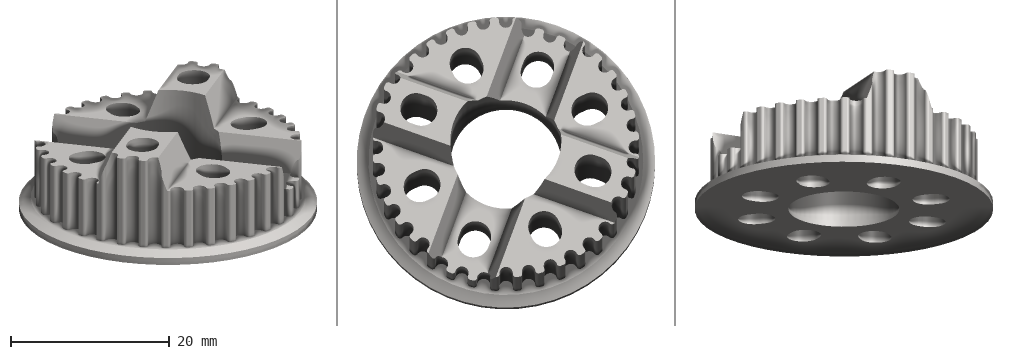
import cadquery as cq
import math

flange_radius = 18.8
flange_rim_height = 0.95
flange_height = 1.5
flange_top_radius = 17.3

tooth_count = 36
tip_radius = 16.8
groove_depth = 1.35
groove_width = 1.7
tip_fillet = 0.38

channel_floor = 5.23
ridge_top = 13.25
dog_height = (ridge_top - channel_floor) / 2
mid_level = channel_floor + dog_height
dog_half_width = 4.5
flank_angle = math.radians(20)
dog_narrow_half_width = dog_half_width - dog_height * math.tan(flank_angle)

bore_radius = 7.0
slot_count = 8
slot_circle_radius = 11.65
slot_length = 4.7
slot_width = 4.0


def make_flange():
    """Disc with a conical bevel around its upper rim."""
    return (
        cq.Workplane("XZ")
        .moveTo(0, 0)
        .lineTo(flange_radius, 0)
        .lineTo(flange_radius, flange_rim_height)
        .lineTo(flange_top_radius, flange_height)
        .lineTo(0, flange_height)
        .close()
        .revolve(360, (0, 0, 0), (0, 1, 0))
    )


def make_groove():
    """Round-bottomed belt groove on the +X side, open outwards."""
    half_width = groove_width / 2
    bottom = tip_radius - groove_depth
    arc_center = bottom + half_width
    return (
        cq.Workplane("XY")
        .moveTo(flange_radius, -half_width)
        .lineTo(arc_center, -half_width)
        .threePointArc((bottom, 0), (arc_center, half_width))
        .lineTo(flange_radius, half_width)
        .close()
        .extrude(ridge_top)
    )


def make_toothed_body():
    """Full-height cylinder with belt grooves and rounded tooth tips."""
    body = cq.Workplane("XY").circle(tip_radius).extrude(ridge_top)
    groove = make_groove()
    for index in range(tooth_count):
        body = body.cut(groove.rotate((0, 0, 0), (0, 0, 1), index * 360 / tooth_count))

    corner_limit = tip_radius - tip_fillet / 2
    corners = [
        edge
        for edge in body.edges("|Z").vals()
        if math.hypot(edge.Center().x, edge.Center().y) > corner_limit
    ]
    return body.newObject(corners).fillet(tip_fillet)


def make_dog(workplane, base_level, base_half_width, top_half_width):
    """Long bar of trapezoid section, centred on the axis."""
    top_level = base_level + dog_height
    return (
        cq.Workplane(workplane)
        .polyline([
            (-base_half_width, base_level),
            (base_half_width, base_level),
            (top_half_width, top_level),
            (-top_half_width, top_level),
        ])
        .close()
        .extrude(flange_radius, both=True)
    )


def make_body_envelope():
    """Volume below the mid level, with the ridge added and the channel removed."""
    base = cq.Workplane("XY").circle(flange_radius).extrude(mid_level)
    ridge = make_dog("XZ", mid_level, dog_half_width, dog_narrow_half_width)
    channel = make_dog("YZ", channel_floor, dog_narrow_half_width, dog_half_width)
    return base.union(ridge).cut(channel)


def make_openings():
    """Central bore and a ring of radial slots, all passing through."""
    bore = cq.Workplane("XY").circle(bore_radius).extrude(ridge_top)
    slots = (
        cq.Workplane("XY")
        .polarArray(slot_circle_radius, 0, 360, slot_count)
        .slot2D(slot_length, slot_width)
        .extrude(ridge_top)
    )
    return bore.union(slots)


toothed_body = make_toothed_body().intersect(make_body_envelope())
result = make_flange().union(toothed_body).cut(make_openings())